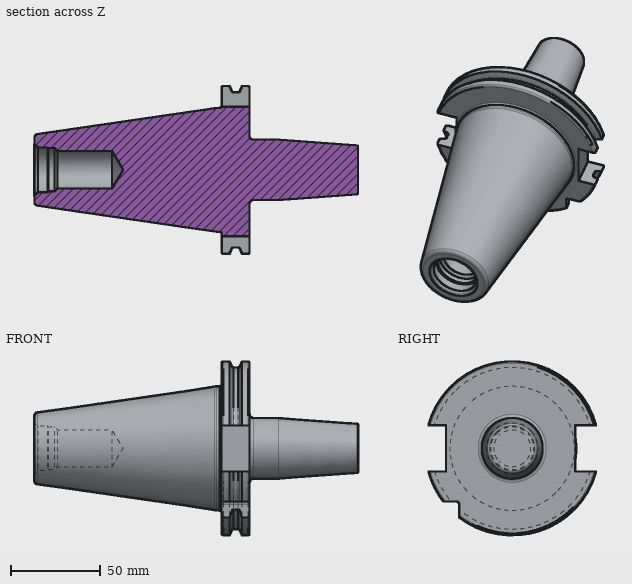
import cadquery as cq
import math

overall_length = 181.6
gauge_x = 101.2
collar_start_x = 102.2
flange_start_x = 105.0
flange_width = 15.8
flange_end_x = flange_start_x + flange_width
shank_taper_x = 137.0

gauge_radius = 34.7
taper_ratio = 7 / 48
small_end_radius = gauge_radius - gauge_x * taper_ratio
collar_radius = 34.9
flange_radius = 97.5 / 2
shank_radius = 17.0
shank_end_radius = 13.8

small_end_round = 2.2
shank_end_round = 1.0
collar_fillet = 1.0
shank_fillet = 2.0
flange_round = 1.0

groove_radius = 45.4
groove_offset = 4.5
groove_width = 6.9
groove_wall_angle = 24
groove_wall_width = (flange_radius - groove_radius) * math.tan(math.radians(groove_wall_angle))
groove_floor_round = 0.9

slot_width = 25.8
slot_floor_left = 35.5
slot_floor_right = 37.2
notch_y = 29.8
notch_z = 29.8
notch_round = 1.6

mouth_radius = 14.3
countersink_radius = 13.6
countersink_start = 0.7
pilot_radius = 12.5
pilot_start = 2.2
pilot_end = 7.5
relief_radius = 12.0
relief_start = 8.0
relief_end = 11.5
core_radius = 10.4
core_start = 13.0
core_end = 43.5
drill_point_angle = 118
drill_tip_length = core_radius / math.tan(math.radians(drill_point_angle / 2))


def revolve_about_x(profile):
    return profile.close().revolve(360, (0, 0, 0), (1, 0, 0))


def make_body():
    body = revolve_about_x(
        cq.Workplane("XY")
        .moveTo(0, 0)
        .lineTo(0, small_end_radius)
        .lineTo(gauge_x, gauge_radius)
        .lineTo(collar_start_x, collar_radius)
        .lineTo(flange_start_x - collar_fillet, collar_radius)
        .radiusArc((flange_start_x, collar_radius + collar_fillet), -collar_fillet)
        .lineTo(flange_start_x, flange_radius - flange_round)
        .radiusArc((flange_start_x + flange_round, flange_radius), flange_round)
        .lineTo(flange_end_x - flange_round, flange_radius)
        .radiusArc((flange_end_x, flange_radius - flange_round), flange_round)
        .lineTo(flange_end_x, shank_radius + shank_fillet)
        .radiusArc((flange_end_x + shank_fillet, shank_radius), -shank_fillet)
        .lineTo(shank_taper_x, shank_radius)
        .lineTo(overall_length, shank_end_radius)
        .lineTo(overall_length, 0)
    )
    body = body.faces("<X").edges().fillet(small_end_round)
    return body.faces(">X").edges().fillet(shank_end_round)


def make_groove():
    start = flange_start_x + groove_offset
    end = start + groove_width
    ring = revolve_about_x(
        cq.Workplane("XY")
        .moveTo(start, flange_radius)
        .lineTo(start + groove_wall_width, groove_radius)
        .lineTo(end - groove_wall_width, groove_radius)
        .lineTo(end, flange_radius)
    )
    floor_edges = cq.selectors.BoxSelector(
        (start + groove_wall_width / 2, -flange_radius, -flange_radius),
        (end - groove_wall_width / 2, flange_radius, flange_radius),
        boundingbox=True,
    )
    return ring.edges(floor_edges).edges("%CIRCLE").fillet(groove_floor_round)


def flange_block(inner_y, outer_y, bottom_z, top_z):
    return cq.Workplane("XY").box(
        flange_width, outer_y - inner_y, top_z - bottom_z, centered=False
    ).translate((flange_start_x, inner_y, bottom_z))


def make_slots():
    half_width = slot_width / 2
    left = flange_block(slot_floor_left, flange_radius, -half_width, half_width)
    right = flange_block(-flange_radius, -slot_floor_right, -half_width, half_width)
    return left.union(right)


def make_notch():
    block = flange_block(-flange_radius, -notch_y, -flange_radius, -notch_z)
    return block.edges("|X and >Y and >Z").fillet(notch_round)


def make_bore():
    return revolve_about_x(
        cq.Workplane("XY")
        .moveTo(0, 0)
        .lineTo(0, mouth_radius)
        .lineTo(countersink_start, countersink_radius)
        .lineTo(pilot_start, pilot_radius)
        .lineTo(pilot_end, pilot_radius)
        .lineTo(relief_start, relief_radius)
        .lineTo(relief_end, relief_radius)
        .lineTo(core_start, core_radius)
        .lineTo(core_end, core_radius)
        .lineTo(core_end + drill_tip_length, 0)
    )


result = (
    make_body()
    .cut(make_groove())
    .cut(make_slots())
    .cut(make_notch())
    .cut(make_bore())
)